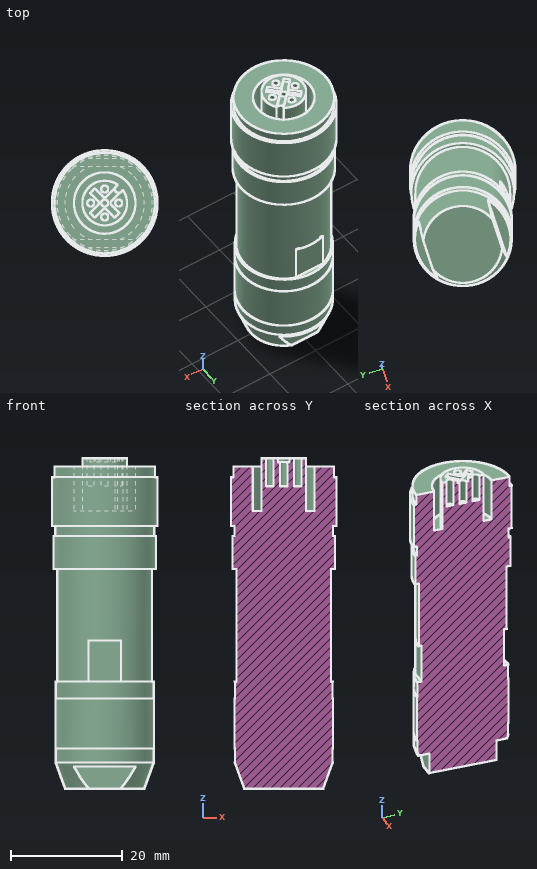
import cadquery as cq
import math

TOTAL_HEIGHT = 59.15

CONE_TOP = 4.75
BOTTOM_BAND_TOP = 7.2
NUT_TOP = 16.2
LOWER_SLEEVE_TOP = 19.2
BODY_TOP = 39.3
COLLAR_TOP = 45.25
NECK_TOP = 47.0
COUPLING_RING_TOP = 55.75
SHELL_TOP = TOTAL_HEIGHT - 1.45

CONE_END_DIAMETER = 14.15
LOWER_SLEEVE_DIAMETER = 17.6
NUT_DIAMETER = 17.7
BODY_DIAMETER = 17.0
COLLAR_DIAMETER = 18.4
NECK_DIAMETER = 17.8
COUPLING_RING_DIAMETER = 18.94
SHELL_DIAMETER = 18.0

BODY_FLAT_SPACING = 15.95
BODY_FLAT_HEIGHT = 7.3
CONE_FLAT_SPACING = 13.0
CONE_FLAT_TOP = 4.0

SOCKET_DIAMETER = 11.0
SOCKET_DEPTH = 8.0
INSERT_DIAMETER = 8.0

CONTACT_COUNT = 4
CONTACT_CIRCLE_RADIUS = 2.5
CONTACT_DIAMETER = 1.25
CONTACT_DEPTH = 5.0

CROSS_ANGLE = 45
CROSS_LENGTH = 6.2
CROSS_WIDTH = 1.2
CROSS_DEPTH = 0.7
CROSS_CORNER_RADIUS = 0.4

KEYWAY_WIDTH = 1.3
KEYWAY_CENTRE_RADIUS = 3.5


def cylinder(diameter, bottom, top):
    return cq.Workplane("XY").workplane(offset=bottom).circle(diameter / 2).extrude(top - bottom)


def turned_outside():
    """Stack the cone and the cylindrical sections along Z."""
    outside = (
        cq.Workplane("XY")
        .circle(CONE_END_DIAMETER / 2)
        .workplane(offset=CONE_TOP)
        .circle(LOWER_SLEEVE_DIAMETER / 2)
        .loft(ruled=True)
    )
    sections = [
        (LOWER_SLEEVE_DIAMETER, BOTTOM_BAND_TOP),
        (NUT_DIAMETER, NUT_TOP),
        (LOWER_SLEEVE_DIAMETER, LOWER_SLEEVE_TOP),
        (BODY_DIAMETER, BODY_TOP),
        (COLLAR_DIAMETER, COLLAR_TOP),
        (NECK_DIAMETER, NECK_TOP),
        (COUPLING_RING_DIAMETER, COUPLING_RING_TOP),
        (SHELL_DIAMETER, SHELL_TOP),
    ]
    bottom = CONE_TOP
    for diameter, top in sections:
        outside = outside.union(cylinder(diameter, bottom, top))
        bottom = top
    return outside


def flat_cutters(spacing, bottom, top):
    """Material outside two planes facing -Y and +Y, between two heights."""
    stock = COUPLING_RING_DIAMETER
    height = top - bottom
    block = cq.Workplane("XY").box(stock, stock, height, centered=(True, True, False))
    core = cq.Workplane("XY").box(stock, spacing, height, centered=(True, True, False))
    return block.cut(core).translate((0, 0, bottom))


def cross_groove():
    groove = (
        cq.Workplane("XY")
        .rect(CROSS_LENGTH, CROSS_WIDTH)
        .extrude(CROSS_DEPTH)
        .union(cq.Workplane("XY").rect(CROSS_WIDTH, CROSS_LENGTH).extrude(CROSS_DEPTH))
    )
    inner_corners = cq.selectors.BoxSelector(
        (-CROSS_WIDTH, -CROSS_WIDTH, -CROSS_DEPTH),
        (CROSS_WIDTH, CROSS_WIDTH, 2 * CROSS_DEPTH),
    )
    groove = groove.edges("|Z").edges(inner_corners).fillet(CROSS_CORNER_RADIUS)
    return groove.rotate((0, 0, 0), (0, 0, 1), CROSS_ANGLE).translate((0, 0, TOTAL_HEIGHT - CROSS_DEPTH))


def keyway(bottom):
    """Round-bottomed slot running out through the side of the insert."""
    outward_length = INSERT_DIAMETER / 2
    height = TOTAL_HEIGHT - bottom
    slot = (
        cq.Workplane("XY")
        .circle(KEYWAY_WIDTH / 2)
        .extrude(height)
        .union(cq.Workplane("XY").box(outward_length, KEYWAY_WIDTH, height, centered=(False, True, False)))
    )
    slot = slot.translate((KEYWAY_CENTRE_RADIUS, 0, bottom))
    return slot.rotate((0, 0, 0), (0, 0, 1), CROSS_ANGLE)


def contact_holes():
    bottom = TOTAL_HEIGHT - CONTACT_DEPTH
    hole = cylinder(CONTACT_DIAMETER, bottom, TOTAL_HEIGHT)
    holes = hole
    for index in range(CONTACT_COUNT):
        angle = 2 * math.pi * index / CONTACT_COUNT
        x = CONTACT_CIRCLE_RADIUS * math.cos(angle)
        y = CONTACT_CIRCLE_RADIUS * math.sin(angle)
        holes = holes.union(hole.translate((x, y, 0)))
    return holes


def contact_insert(bottom):
    insert = cylinder(INSERT_DIAMETER, bottom, TOTAL_HEIGHT)
    return insert.cut(cross_groove()).cut(keyway(bottom)).cut(contact_holes())


socket_floor = SHELL_TOP - SOCKET_DEPTH

housing = turned_outside()
housing = housing.cut(
    flat_cutters(BODY_FLAT_SPACING, LOWER_SLEEVE_TOP, LOWER_SLEEVE_TOP + BODY_FLAT_HEIGHT)
)
housing = housing.cut(flat_cutters(CONE_FLAT_SPACING, 0, CONE_FLAT_TOP))
housing = housing.cut(cylinder(SOCKET_DIAMETER, socket_floor, SHELL_TOP))

result = housing.union(contact_insert(socket_floor))